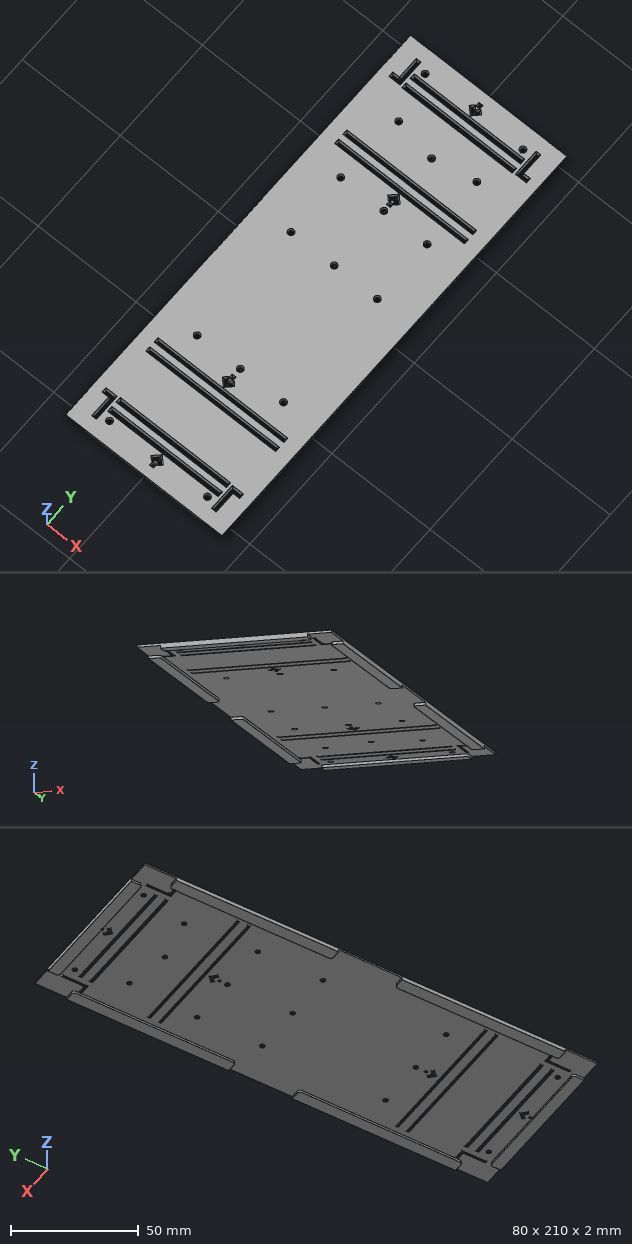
import cadquery as cq
import math

WIDTH = 80.0
LENGTH = 210.0
HEIGHT = 2.0
PLATE_THICKNESS = 1.0
STRIP_HEIGHT = HEIGHT - PLATE_THICKNESS
STRIP_WIDTH = 5.0
STRIP_CORNER_RADIUS = 1.3
END_STRIP_LENGTH = 60.5
SIDE_STRIP_SPANS = [(15.1, 90.3), (-90.0, -14.3)]

SLOT_FLARE = 0.75
HOLE_FLARE = 0.5
ARROW_FLARE = 0.6

HOLE_LOWER_DIAMETER = 2.0
HOLE_UPPER_DIAMETER = HOLE_LOWER_DIAMETER + 2 * HOLE_FLARE
HOLE_PAIRS = [
    (25.0, 96.0),
    (20.0, 74.0),
    (22.0, 41.2),
    (22.0, 11.0),
    (22.0, -46.2),
    (25.0, -96.0),
]
CENTRE_HOLES_Y = [70.1, 41.2, 11.0, -46.2]

SLOT_PITCH = 5.0
NARROW_SLOT_WIDTH = 2.3
NARROW_SLOT_LENGTH = 66.2
NARROW_PAIRS_Y = [54.4, -60.5]
WIDE_SLOT_WIDTH = 2.5
WIDE_SLOT_LENGTH = 56.3
WIDE_PAIRS_Y = [89.5, -89.5]

CORNER_SLOT_X = (29.5, 35.0)
CORNER_SLOT_Y = (86.0, 98.7)

ARROW_REACH = 3.2
NOTCH_OFFSET = 0.2
DOT_SIZE = 1.9
DOT_REACH = 3.4
ARROWS = [(96.8, -1), (47.2, 1), (-53.3, -1), (-96.8, 1)]


def strip(x_from, x_to, y_from, y_to, inner_edges):
    """Block under the plate, rounded at its corners away from the plate edge."""
    block = cq.Workplane("XY").box(x_to - x_from, y_to - y_from, STRIP_HEIGHT, centered=False)
    block = block.edges("|Z").edges(inner_edges).fillet(STRIP_CORNER_RADIUS)
    return block.translate((x_from, y_from, 0))


def plate_with_strips():
    plate = cq.Workplane("XY").box(WIDTH, LENGTH, PLATE_THICKNESS, centered=(True, True, False))
    plate = plate.translate((0, 0, STRIP_HEIGHT))
    side_x = WIDTH / 2
    end_y = LENGTH / 2
    end_strip_x = END_STRIP_LENGTH / 2
    plate = plate.union(strip(-end_strip_x, end_strip_x, end_y - STRIP_WIDTH, end_y, "<Y"))
    plate = plate.union(strip(-end_strip_x, end_strip_x, -end_y, STRIP_WIDTH - end_y, ">Y"))
    for y_from, y_to in SIDE_STRIP_SPANS:
        plate = plate.union(strip(side_x - STRIP_WIDTH, side_x, y_from, y_to, "<X"))
        plate = plate.union(strip(-side_x, STRIP_WIDTH - side_x, y_from, y_to, ">X"))
    return plate


def upper_face():
    return cq.Workplane("XY").workplane(offset=HEIGHT)


def flared_cutter(outline, flare):
    """Cutter through the plate that narrows downward from an outline on its upper face."""
    wall_angle = math.degrees(math.atan(flare / PLATE_THICKNESS))
    return outline.extrude(-PLATE_THICKNESS, taper=wall_angle)


def hole(x, y):
    return flared_cutter(upper_face().center(x, y).circle(HOLE_UPPER_DIAMETER / 2), HOLE_FLARE)


def slot(y, length, width):
    return flared_cutter(upper_face().center(0, y).rect(length, width), SLOT_FLARE)


def corner_slot(side, end):
    """L-shaped slot; side and end are the signs of X and Y of its corner of the plate."""
    inner_x, outer_x = CORNER_SLOT_X
    inner_y, outer_y = CORNER_SLOT_Y
    bend_x = inner_x + NARROW_SLOT_WIDTH
    bend_y = inner_y + NARROW_SLOT_WIDTH
    points = [
        (inner_x, inner_y),
        (outer_x, inner_y),
        (outer_x, bend_y),
        (bend_x, bend_y),
        (bend_x, outer_y),
        (inner_x, outer_y),
    ]
    outline = upper_face().polyline([(side * x, end * y) for x, y in points]).close()
    return flared_cutter(outline, SLOT_FLARE)


def chevron(y, direction):
    """Square standing on its corner, with a smaller square taken out of its rear corner."""
    tail_x = (ARROW_REACH - NOTCH_OFFSET) / 2
    tail_y = (ARROW_REACH + NOTCH_OFFSET) / 2
    points = [
        (0, -ARROW_REACH),
        (ARROW_REACH, 0),
        (tail_x, tail_y),
        (0, NOTCH_OFFSET),
        (-tail_x, tail_y),
        (-ARROW_REACH, 0),
    ]
    outline = upper_face().polyline([(px, y - direction * py) for px, py in points]).close()
    return flared_cutter(outline, ARROW_FLARE)


def dot(y, direction):
    dot_y = y - direction * (DOT_REACH - DOT_SIZE / 2)
    return flared_cutter(upper_face().center(0, dot_y).rect(DOT_SIZE, DOT_SIZE), ARROW_FLARE)


cutters = [hole(0, y) for y in CENTRE_HOLES_Y]
for side in (-1, 1):
    for x, y in HOLE_PAIRS:
        cutters.append(hole(side * x, y))
    for end in (-1, 1):
        cutters.append(corner_slot(side, end))
for step in (-SLOT_PITCH / 2, SLOT_PITCH / 2):
    for y in NARROW_PAIRS_Y:
        cutters.append(slot(y + step, NARROW_SLOT_LENGTH, NARROW_SLOT_WIDTH))
    for y in WIDE_PAIRS_Y:
        cutters.append(slot(y + step, WIDE_SLOT_LENGTH, WIDE_SLOT_WIDTH))
for y, direction in ARROWS:
    cutters.append(chevron(y, direction))
    cutters.append(dot(y, direction))

result = plate_with_strips()
for cutter in cutters:
    result = result.cut(cutter)